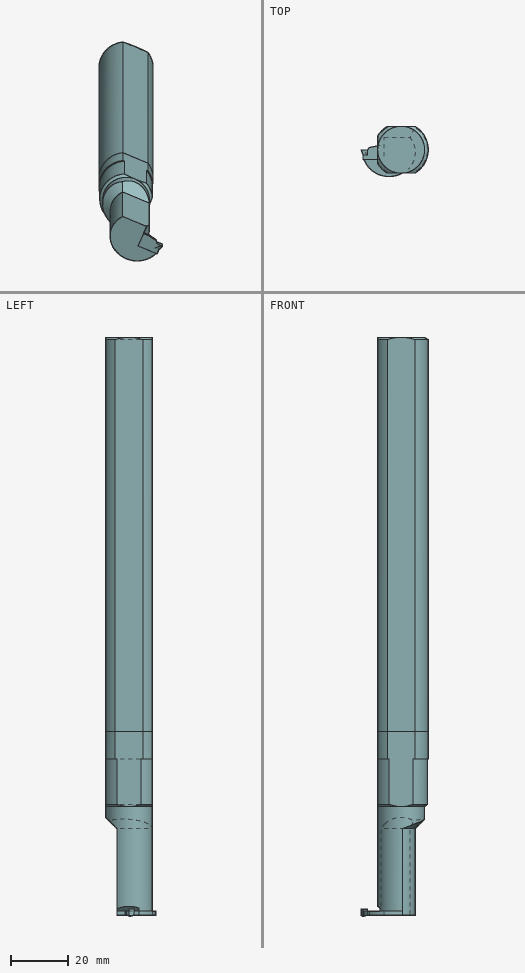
import cadquery as cq

TOTAL_HEIGHT = 203.2
FLAT_OFFSET = 8.23
NECK_RADIUS = FLAT_OFFSET
SHANK_RADIUS = 9.5
COLLAR_RADIUS = 9.25

JOINT_Z = 65.0
STEP_Z = 55.3
NECK_Z = 38.6
CONE_HEIGHT = 0.8

STEM_BOTTOM_Z = 0.5
STEM_TOP_Z = 30.9
STEM_BACK_Y = 4.3
RELIEF_X = -3.3
RELIEF_Y = -0.91
RELIEF_RADIUS = NECK_RADIUS
RUNOUT_HEIGHT = NECK_Z - STEM_TOP_Z

PLATE_X = -4.3
PLATE_RADIUS = 9.45
PLATE_END_X = 0.53
PLATE_TOP_Z = 1.93
TIP_X = SHANK_RADIUS - 23.5
SEAT_Y = -3.5
SEAT_X = -6.0
SEAT_MOUTH_Z = 3.7
TIP_HEEL_X = -13.5
TIP_BACK_Y = 1.5
TIP_SHOULDER_X = -11.2
TIP_SHOULDER_Y = 0.8
NOSE_ROOT_X = -11.8
NOSE_BACK_Y = -1.8
NOSE_TOP_Z = 2.6
NOSE_LAND = 0.6
REACH = 4 * SHANK_RADIUS


def block(x_min, x_max, y_min, y_max, z_min, z_max):
    return cq.Workplane("XY").box(
        x_max - x_min, y_max - y_min, z_max - z_min, centered=False
    ).translate((x_min, y_min, z_min))


def cylinder(radius, z_min, z_max, x=0, y=0):
    return cq.Workplane("XY", origin=(x, y, z_min)).circle(radius).extrude(z_max - z_min)


def revolve_profile(points):
    """Revolve an outline of (radius, z) points about the Z axis."""
    return cq.Workplane("XZ").polyline(points).close().revolve(360, (0, 0, 0), (0, 1, 0))


def cut_flats(round_bar, z_min, z_max):
    """Trim a bar to its flats at -X, -Y and +Y; the +X side stays round."""
    return round_bar.intersect(block(-FLAT_OFFSET, REACH, -FLAT_OFFSET, FLAT_OFFSET, z_min, z_max))


def make_shank():
    bar = revolve_profile([
        (0, JOINT_Z),
        (SHANK_RADIUS, JOINT_Z),
        (SHANK_RADIUS, TOTAL_HEIGHT - CONE_HEIGHT),
        (NECK_RADIUS, TOTAL_HEIGHT),
        (0, TOTAL_HEIGHT),
    ])
    return cut_flats(bar, JOINT_Z, TOTAL_HEIGHT)


def make_collar():
    bar = revolve_profile([
        (0, NECK_Z),
        (NECK_RADIUS, NECK_Z),
        (COLLAR_RADIUS, NECK_Z + CONE_HEIGHT),
        (COLLAR_RADIUS, STEP_Z),
        (SHANK_RADIUS, STEP_Z),
        (SHANK_RADIUS, JOINT_Z),
        (0, JOINT_Z),
    ])
    return cut_flats(bar, NECK_Z, JOINT_Z)


def make_stem():
    """Neck cylinder relieved on +X and +Y, with a 45 degree runout at the top."""
    relief = cylinder(RELIEF_RADIUS, STEM_BOTTOM_Z, STEM_TOP_Z, RELIEF_X, RELIEF_Y)
    cone = cq.Workplane(cq.Solid.makeCone(
        RELIEF_RADIUS, RELIEF_RADIUS + RUNOUT_HEIGHT, RUNOUT_HEIGHT, cq.Vector(RELIEF_X, RELIEF_Y, STEM_TOP_Z)
    ))
    back_limit = (
        cq.Workplane("YZ", origin=(-REACH, 0, 0))
        .polyline([
            (-REACH, STEM_BOTTOM_Z),
            (STEM_BACK_Y, STEM_BOTTOM_Z),
            (STEM_BACK_Y, STEM_TOP_Z),
            (STEM_BACK_Y + RUNOUT_HEIGHT, NECK_Z),
            (-REACH, NECK_Z),
        ])
        .close()
        .extrude(2 * REACH)
    )
    neck = cylinder(NECK_RADIUS, STEM_BOTTOM_Z, NECK_Z)
    return neck.intersect(relief.union(cone)).intersect(back_limit)


def make_plate():
    disc = cylinder(PLATE_RADIUS, STEM_BOTTOM_Z, PLATE_TOP_Z, PLATE_X)
    return disc.intersect(block(-REACH, PLATE_END_X, -REACH, SEAT_Y, STEM_BOTTOM_Z, PLATE_TOP_Z))


def make_seat():
    """Space for the tip, open to -X and +Y, with a ceiling that rises outwards."""
    return (
        cq.Workplane("XZ", origin=(0, SEAT_Y, 0))
        .polyline([
            (SEAT_X, 0),
            (SEAT_X, PLATE_TOP_Z),
            (-NECK_RADIUS, SEAT_MOUTH_Z),
            (-REACH, SEAT_MOUTH_Z),
            (-REACH, 0),
        ])
        .close()
        .extrude(-REACH)
    )


def make_holder():
    return make_collar().union(make_stem()).union(make_plate()).cut(make_seat())


def make_tip():
    base = (
        cq.Workplane("XY", origin=(0, 0, STEM_BOTTOM_Z))
        .polyline([
            (TIP_HEEL_X, SEAT_Y),
            (SEAT_X, SEAT_Y),
            (SEAT_X, TIP_BACK_Y),
            (-NECK_RADIUS, TIP_BACK_Y),
            (TIP_SHOULDER_X, TIP_SHOULDER_Y),
            (NOSE_ROOT_X, 0),
            (TIP_HEEL_X, 0),
        ])
        .close()
        .extrude(PLATE_TOP_Z - STEM_BOTTOM_Z)
    )
    nose = (
        cq.Workplane("XY")
        .polyline([(TIP_X, 0), (NOSE_ROOT_X, 0), (NOSE_ROOT_X, NOSE_BACK_Y), (TIP_HEEL_X, NOSE_BACK_Y)])
        .close()
        .extrude(NOSE_TOP_Z)
    )
    rise_x = (
        cq.Workplane("XZ", origin=(0, REACH, 0))
        .polyline([
            (TIP_X, STEM_BOTTOM_Z),
            (TIP_X + NOSE_LAND, 0),
            (NOSE_ROOT_X, STEM_BOTTOM_Z),
            (NOSE_ROOT_X, NOSE_TOP_Z),
            (TIP_X, NOSE_TOP_Z),
        ])
        .close()
        .extrude(2 * REACH)
    )
    rise_y = (
        cq.Workplane("YZ", origin=(-REACH, 0, 0))
        .polyline([(0, 0), (0, NOSE_TOP_Z), (NOSE_BACK_Y, NOSE_TOP_Z), (NOSE_BACK_Y, STEM_BOTTOM_Z)])
        .close()
        .extrude(2 * REACH)
    )
    return base.union(nose.intersect(rise_x).intersect(rise_y))


shank = make_shank()
holder = make_holder()
tip = make_tip()

result = cq.Compound.makeCompound([shank.val(), holder.val(), tip.val()])